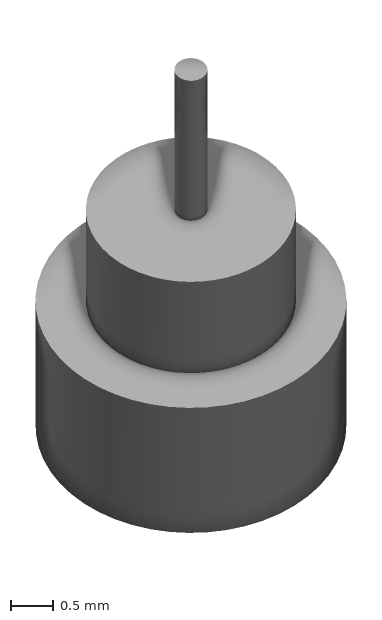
import cadquery as cq

total_height = 5.85

base_diameter = 3.7
collar_diameter = 2.5
pin_diameter = 0.39

base_height = 2.055
collar_height = 1.5
pin_height = total_height - base_height - collar_height


def add_step(body, diameter, height):
    """Stack a centred cylinder on the top face of the body."""
    return body.faces(">Z").workplane().circle(diameter / 2).extrude(height)


base = cq.Workplane("XY").circle(base_diameter / 2).extrude(base_height)

base_with_collar = add_step(base, collar_diameter, collar_height)
result = add_step(base_with_collar, pin_diameter, pin_height)